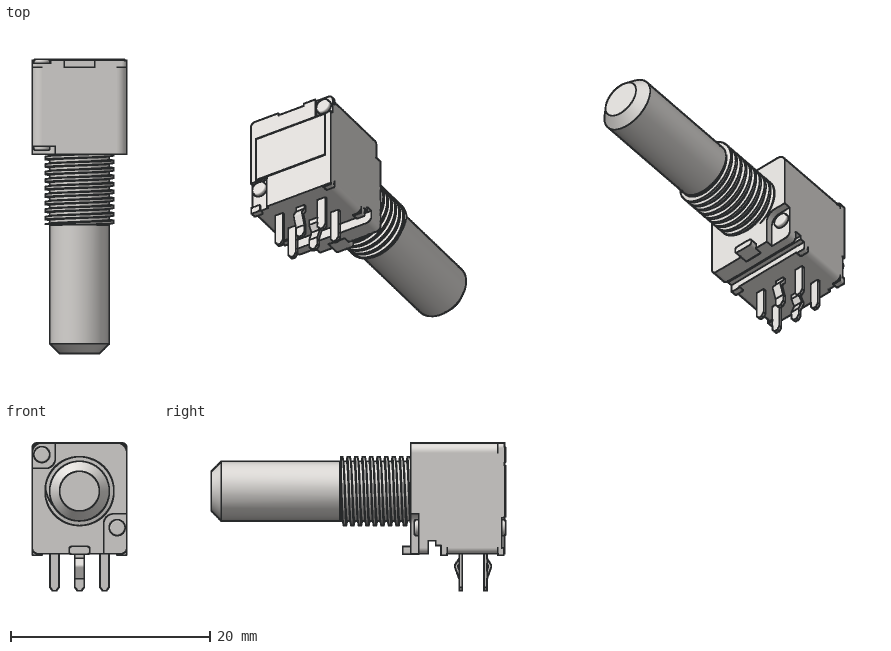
import cadquery as cq
import math


WIDTH = 9.5
HALF_WIDTH = WIDTH / 2
TOP = 4.85
BOTTOM = -6.3
REAR = 9.43
TOP_RADIUS = 0.98
BOTTOM_RADIUS = 0.6

LIP_LENGTH = 0.68
LIP_FRONT = REAR - LIP_LENGTH
LIP_RADIUS = 0.5

GROOVE_START = 1.77
GROOVE_STEP = 2.5
GROOVE_END = 3.05
GROOVE_DEEP_ROOF = -5.0
GROOVE_SHALLOW_ROOF = -5.47

FOOT_LENGTH = 0.62
FOOT_WIDTH = 1.0
FOOT_DROP = 0.15
FOOT_RADIUS = 0.12

NOTCH_WIDTH = 3.0
NOTCH_DEPTH = 0.27

RIVET_X = 3.78
RIVET_Z = 3.65
RIVET_DIAMETER = 1.6
RIVET_HEIGHT = 0.4
RIVET_EDGE_RADIUS = 0.18
FRONT_POCKET_X = 2.42
FRONT_POCKET_Z = 2.28
FRONT_POCKET_DEPTH = 0.8
FRONT_POCKET_RADIUS = 1.0
REAR_POCKET_X = 2.87
REAR_POCKET_Z = 2.7
REAR_POCKET_DEPTH = 0.3

PAD_WIDTH = 8.15
PAD_HEIGHT = 5.15
PAD_THICKNESS = 0.12

TAB_WIDTH = 2.05
TAB_TOP = -5.55
TAB_BOTTOM = -6.35
TAB_REACH = 0.8
TAB_ROOT = 0.8
TAB_RADIUS = 0.2

PIN_PITCH = 2.5
FRONT_ROW = 5.02
REAR_ROW = 7.5
PIN_THICKNESS = 0.33
PIN_WIDTH = 0.92
KINKED_PIN_WIDTH = 0.98
PIN_END = -10.02
PIN_TIP_LENGTH = 0.38
PIN_TIP_WIDTH = 0.38
KINK_DEPTH = 0.45
KINK_START = -6.85
KINK_APEX = -7.55
KINK_END = -8.75

SHAFT_DIAMETER = 6.0
SHAFT_END = 20.0
SHAFT_CHAMFER = 1.0
SHAFT_GAP = 0.1
NECK_DIAMETER = 3.5

CORE_RADIUS = SHAFT_DIAMETER / 2
BUSHING_LENGTH = 7.0
SHAFT_START = BUSHING_LENGTH + SHAFT_GAP
THREAD_RADIUS = 3.45
THREAD_TURNS = 9.3
THREAD_PITCH = BUSHING_LENGTH / THREAD_TURNS
CREST_WIDTH = 0.27
ROOT_WIDTH = 0.45
THREAD_OVERLAP = 0.03


def box(x_range, y_range, z_range):
    """Box between the two limits of each range, given in any order."""
    limits = [sorted(pair) for pair in (x_range, y_range, z_range)]
    sizes = [high - low for low, high in limits]
    corner = tuple(low for low, high in limits)
    return cq.Workplane("XY").box(*sizes, centered=False).translate(corner)


def cylinder(diameter, y_front, y_rear, x=0, z=0):
    """Cylinder along Y from y_front back to y_rear."""
    disc = cq.Workplane("XZ", origin=(x, y_rear, z)).circle(diameter / 2)
    return disc.extrude(y_rear - y_front)


def full_width_box(y_range, z_range):
    return box((-HALF_WIDTH, HALF_WIDTH), y_range, z_range)


def housing_block():
    block = full_width_box((0, LIP_FRONT), (BOTTOM, TOP))
    block = block.edges("|Y and >Z").fillet(TOP_RADIUS)
    block = block.edges("|Y and <Z").fillet(BOTTOM_RADIUS)
    lip = full_width_box((LIP_FRONT, REAR), (BOTTOM, TOP))
    lip = lip.edges("|Y and >Z").fillet(LIP_RADIUS)
    return block.union(lip)


def groove():
    deep = full_width_box((GROOVE_START, GROOVE_STEP), (BOTTOM, GROOVE_DEEP_ROOF))
    shallow = full_width_box((GROOVE_STEP, GROOVE_END), (BOTTOM, GROOVE_SHALLOW_ROOF))
    return deep.union(shallow)


def notch():
    half_width = NOTCH_WIDTH / 2
    return box((-half_width, half_width), (LIP_FRONT, REAR), (TOP - NOTCH_DEPTH, TOP))


def foot(side, y_front):
    """Foot that also squares off the rounded bottom edge above it."""
    x_range = (side * HALF_WIDTH, side * (HALF_WIDTH - FOOT_WIDTH))
    z_range = (BOTTOM - FOOT_DROP, BOTTOM + BOTTOM_RADIUS)
    body = box(x_range, (y_front, y_front + FOOT_LENGTH), z_range)
    return body.edges("|Y and <Z").fillet(FOOT_RADIUS)


def pocket_limit(side):
    return TOP if side < 0 else BOTTOM


def front_pocket(side):
    x_range = (side * HALF_WIDTH, side * FRONT_POCKET_X)
    z_range = (-side * FRONT_POCKET_Z, pocket_limit(side))
    pocket = box(x_range, (0, FRONT_POCKET_DEPTH), z_range)
    inner_edge = ">X and <Z" if side < 0 else "<X and >Z"
    return pocket.edges("|Y").edges(inner_edge).fillet(FRONT_POCKET_RADIUS)


def rear_pocket(side):
    x_range = (side * HALF_WIDTH, side * REAR_POCKET_X)
    z_range = (-side * REAR_POCKET_Z, pocket_limit(side))
    return box(x_range, (REAR - REAR_POCKET_DEPTH, REAR), z_range)


def front_rivet(side):
    seat = FRONT_POCKET_DEPTH
    head = cylinder(RIVET_DIAMETER, seat - RIVET_HEIGHT, seat, side * RIVET_X, -side * RIVET_Z)
    return head.faces("<Y").edges().fillet(RIVET_EDGE_RADIUS)


def rear_rivet(side):
    seat = REAR - REAR_POCKET_DEPTH
    head = cylinder(RIVET_DIAMETER, seat, seat + RIVET_HEIGHT, side * RIVET_X, -side * RIVET_Z)
    return head.faces(">Y").edges().fillet(RIVET_EDGE_RADIUS)


def rear_pad():
    half_width = PAD_WIDTH / 2
    half_height = PAD_HEIGHT / 2
    return box((-half_width, half_width), (REAR, REAR + PAD_THICKNESS), (-half_height, half_height))


def tab():
    body = box((-TAB_WIDTH / 2, TAB_WIDTH / 2), (-TAB_REACH, TAB_ROOT), (TAB_BOTTOM, TAB_TOP))
    return body.edges("|Y").fillet(TAB_RADIUS)


def pin_blade(x, y, width):
    """Flat pin with a tapered tip, centred on y."""
    shoulder = PIN_END + PIN_TIP_LENGTH
    half_width = width / 2
    half_tip = PIN_TIP_WIDTH / 2
    outline = [
        (-half_width, BOTTOM),
        (-half_width, shoulder),
        (-half_tip, PIN_END),
        (half_tip, PIN_END),
        (half_width, shoulder),
        (half_width, BOTTOM),
    ]
    sketch = cq.Workplane("XZ", origin=(x, y, 0)).polyline(outline).close()
    return sketch.extrude(PIN_THICKNESS / 2, both=True)


def kinked_pin(y, side):
    """Pin bent out to one side (+1 rearwards, -1 forwards) around a triangular hollow."""
    back = y - side * PIN_THICKNESS / 2
    half_width = KINKED_PIN_WIDTH / 2
    hollow_corners = [
        (back, KINK_START),
        (back + side * KINK_DEPTH, KINK_APEX),
        (back, KINK_END),
    ]
    hollow = cq.Workplane("YZ").polyline(hollow_corners).close().extrude(half_width, both=True)
    wrap = cq.Workplane("YZ").polyline(hollow_corners).close().offset2D(PIN_THICKNESS)
    wrap = wrap.extrude(half_width, both=True)
    reach = back + side * (KINK_DEPTH + PIN_THICKNESS)
    wrap = wrap.intersect(box((-half_width, half_width), (back, reach), (PIN_END, BOTTOM)))
    blade = pin_blade(0, y, KINKED_PIN_WIDTH)
    return blade.union(wrap).cut(hollow)


def pin_row(y, side):
    row = kinked_pin(y, side)
    for x in (-PIN_PITCH, PIN_PITCH):
        row = row.add(pin_blade(x, y, PIN_WIDTH))
    return row


def thread():
    """Right-hand thread ridge that starts a turn behind the mounting face and overruns the end."""
    turns = math.ceil(THREAD_TURNS) + 2
    root_radius = CORE_RADIUS - THREAD_OVERLAP
    helix = cq.Wire.makeHelix(THREAD_PITCH, turns * THREAD_PITCH, root_radius)
    ridge_section = [
        (root_radius, -ROOT_WIDTH / 2),
        (THREAD_RADIUS, -CREST_WIDTH / 2),
        (THREAD_RADIUS, CREST_WIDTH / 2),
        (root_radius, ROOT_WIDTH / 2),
    ]
    ridge = cq.Workplane("XZ").polyline(ridge_section).close()
    ridge = ridge.sweep(cq.Workplane(helix), isFrenet=True)
    ridge = ridge.rotate((0, 0, 0), (1, 0, 0), 90)
    return ridge.translate((0, THREAD_PITCH, 0))


def bushing():
    """Threaded rod cut to the bushing length."""
    rod = cylinder(2 * CORE_RADIUS, -2 * BUSHING_LENGTH, BUSHING_LENGTH).union(thread())
    envelope = cylinder(3 * CORE_RADIUS, -BUSHING_LENGTH, 0)
    return rod.intersect(envelope)


def shaft_neck():
    return cylinder(NECK_DIAMETER, -SHAFT_START, 0)


def make_housing():
    body = housing_block().cut(groove()).cut(notch())
    for side in (-1, 1):
        body = body.cut(front_pocket(side)).union(front_rivet(side))
        body = body.cut(rear_pocket(side)).union(rear_rivet(side))
        for y_front in (GROOVE_END, LIP_FRONT):
            body = body.union(foot(side, y_front))
    body = body.union(rear_pad()).union(tab())
    body = body.union(pin_row(FRONT_ROW, -1)).union(pin_row(REAR_ROW, 1))
    return body.union(bushing()).cut(shaft_neck())


def make_shaft():
    bar = cylinder(SHAFT_DIAMETER, -SHAFT_END, -SHAFT_START)
    bar = bar.faces("<Y").chamfer(SHAFT_CHAMFER)
    return bar.union(shaft_neck())


housing = make_housing()
shaft = make_shaft()

result = cq.Compound.makeCompound([housing.val(), shaft.val()])